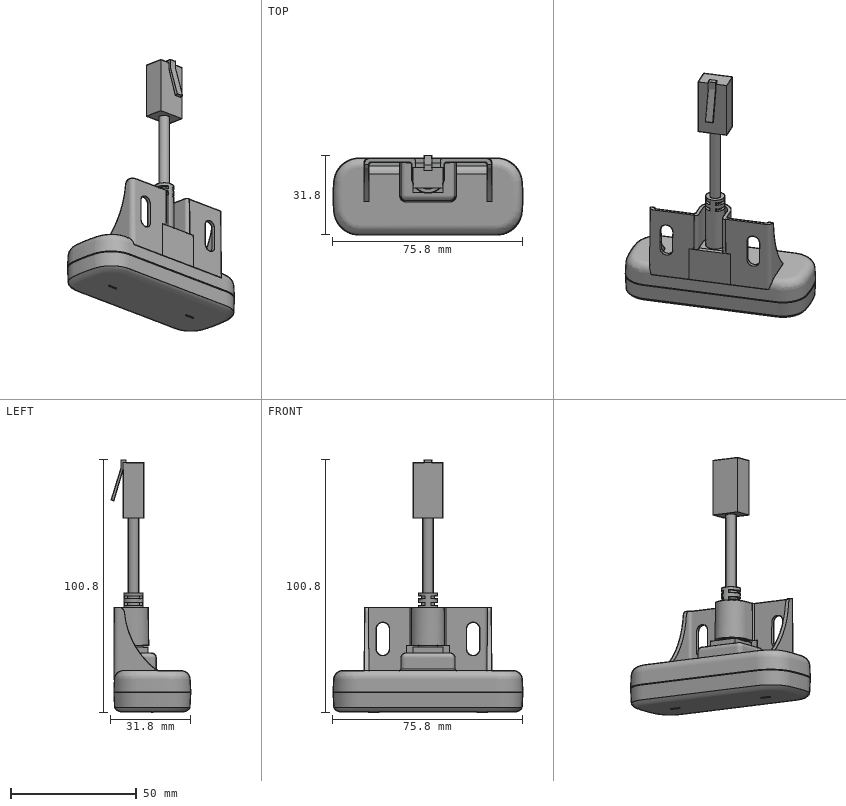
import cadquery as cq
import math

half_length = 37.915
half_width = 15.37
corner_radius = 10.2
corner_center_x = 27.4
end_radius = 55.0
floor_z = 0.3
seam_z = 8.27
housing_top_z = 16.8
housing_draft = 3.0
top_edge_radius = 3.65
rim_height = 1.7
rim_radius = 3.5
seam_groove_height = 0.3
seam_groove_depth = 0.15
foot_length = 4.1
foot_spacing = 43.2

bracket_half_span = 25.5
bracket_root_z = 13.2
bracket_top_z = 42.0
bracket_draft = 0.5
wing_thickness = 1.8
gusset_thickness = 2.0
bend_radius = 2.0
gusset_front_y = -1.9
gusset_tip = (12.8, 42.0)
gusset_tip_middle = (11.8, 41.4)
gusset_shoulder = (11.1, 39.9)
gusset_middle = (6.6, 26.2)
slot_spacing = 36.0
slot_width = 5.2
slot_length = 13.2
slot_center_z = 29.4

groove_front_y = 8.9
groove_step = 1.6
groove_depths = (0.6, 1.6)

hood_half_width = 10.75
hood_front_y = -1.6
hood_top_z = 23.8
hood_radius = 2.0
hood_base_flare = 0.55
hood_base_chamfer = 0.5
back_wall_half_width = 8.6
back_wall_front_y = 13.4
sleeve_bottom_z = 26.85
sleeve_center_y = 8.0
sleeve_outer_radius = 6.65
sleeve_inner_radius = 5.0
sleeve_draft = 0.7
sleeve_bend_radius = 0.5
sleeve_mouth_radius = 1.2

cable_y = 7.5
cable_radius = 2.16
connector_width = 11.9
boot_block_front_y = 1.65
boot_block_top_z = 26.1
boot_radius = 3.85
boot_top_z = 47.8
boot_core_radius = 2.65
boot_rib_width = 2.4
boot_groove_height = 1.1
boot_groove_centers = (43.35, 46.05)
plug_depth = 8.2
plug_bottom_z = 77.6
plug_top_z = 99.7
latch_width = 3.0
latch_top_z = 100.8
latch_thickness = 0.9
latch_overlap = 1.2
latch_root_z = 97.5
latch_tip_y = 16.43
latch_tip_z = 84.8
latch_tip_run = 1.1
latch_tip_drop = 0.4


def box(x_min, x_max, y_min, y_max, z_min, z_max):
    size = (x_max - x_min, y_max - y_min, z_max - z_min)
    return cq.Workplane("XY").box(*size, centered=False).translate((x_min, y_min, z_min))


def cylinder(radius, z_min, z_max):
    return cq.Workplane("XY", origin=(0, cable_y, z_min)).circle(radius).extrude(z_max - z_min)


end_center_x = half_length - end_radius
corner_center_y = half_width - corner_radius
tangent_angle = math.atan2(corner_center_y, corner_center_x - end_center_x)
corner_mid_angle = (tangent_angle + math.pi / 2) / 2


def shell_outline(z, inset):
    """The seam outline offset inward; corner and end arcs keep their centers."""
    length = half_length - inset
    width = half_width - inset
    corner = corner_radius - inset
    tangent_x = end_center_x + (end_radius - inset) * math.cos(tangent_angle)
    tangent_y = (end_radius - inset) * math.sin(tangent_angle)
    mid_x = corner_center_x + corner * math.cos(corner_mid_angle)
    mid_y = corner_center_y + corner * math.sin(corner_mid_angle)
    return (
        cq.Workplane("XY", origin=(0, 0, z))
        .moveTo(-corner_center_x, -width)
        .lineTo(corner_center_x, -width)
        .threePointArc((mid_x, -mid_y), (tangent_x, -tangent_y))
        .threePointArc((length, 0), (tangent_x, tangent_y))
        .threePointArc((mid_x, mid_y), (corner_center_x, width))
        .lineTo(-corner_center_x, width)
        .threePointArc((-mid_x, mid_y), (-tangent_x, tangent_y))
        .threePointArc((-length, 0), (-tangent_x, -tangent_y))
        .threePointArc((-mid_x, -mid_y), (-corner_center_x, -width))
        .close()
    )


def shell_layer(start_z, start_inset, end_z, end_inset):
    wires = [shell_outline(start_z, start_inset).val(), shell_outline(end_z, end_inset).val()]
    return cq.Workplane(cq.Solid.makeLoft(wires, True))


def draft_inset(z):
    return abs(z - seam_z) * math.tan(math.radians(housing_draft))


def make_lower_shell():
    rim_z = floor_z + rim_height
    rim_overhang = rim_radius - math.sqrt(rim_radius**2 - (rim_radius - rim_height) ** 2)
    rounded_inset = draft_inset(rim_z) - rim_overhang
    rounded = shell_outline(floor_z, rounded_inset).extrude(seam_z - floor_z)
    rounded = rounded.faces("<Z").edges().fillet(rim_radius)
    groove_z = seam_z - seam_groove_height
    shell = shell_layer(floor_z, draft_inset(floor_z), groove_z, draft_inset(groove_z)).intersect(rounded)
    shell = shell.union(shell_outline(groove_z, seam_groove_depth).extrude(seam_groove_height))
    for side in (-1, 1):
        foot = (
            cq.Workplane("YZ", origin=(side * foot_spacing / 2, 0, floor_z))
            .circle(floor_z)
            .extrude(foot_length / 2, both=True)
        )
        shell = shell.union(foot)
    return shell


wing_front_y = half_width - wing_thickness
bracket_height = bracket_top_z - bracket_root_z
gusset_inner_x = bracket_half_span - gusset_thickness


def bracket_side_outline():
    return (
        cq.Workplane("YZ")
        .moveTo(half_width, bracket_root_z)
        .lineTo(half_width, bracket_top_z)
        .lineTo(*gusset_tip)
        .threePointArc(gusset_tip_middle, gusset_shoulder)
        .threePointArc(gusset_middle, (gusset_front_y, housing_top_z))
        .lineTo(gusset_front_y, bracket_root_z)
        .close()
        .extrude(bracket_half_span, both=True)
    )


def drafted_prism(half_span, back_y, corner, draft):
    front_y = gusset_front_y - wing_thickness
    return (
        cq.Workplane("XY", origin=(0, (front_y + back_y) / 2, bracket_root_z))
        .sketch()
        .rect(2 * half_span, back_y - front_y)
        .vertices(">Y")
        .fillet(corner)
        .finalize()
        .extrude(bracket_height, taper=draft)
    )


def make_bracket():
    outside = drafted_prism(bracket_half_span, half_width, bend_radius, bracket_draft)
    inside = drafted_prism(gusset_inner_x, wing_front_y, bend_radius / 2, -bracket_draft)
    inside = inside.union(inside.translate((0, -2 * wing_thickness, 0)))
    slots = (
        cq.Workplane("XZ", origin=(0, half_width, 0))
        .pushPoints([(side * slot_spacing / 2, slot_center_z) for side in (-1, 1)])
        .slot2D(slot_length, slot_width, 90)
        .extrude(2 * wing_thickness)
    )
    return outside.cut(inside).intersect(bracket_side_outline()).cut(slots)


def make_groove_cutter(side):
    shallow, deep = groove_depths
    inner_x = hood_half_width + hood_base_flare
    return (
        cq.Workplane("YZ", origin=(side * inner_x, 0, 0))
        .moveTo(groove_front_y, housing_top_z)
        .lineTo(groove_front_y + groove_step, housing_top_z - shallow)
        .lineTo(groove_front_y + 2 * groove_step, housing_top_z - deep)
        .lineTo(wing_front_y, housing_top_z - deep)
        .lineTo(wing_front_y, housing_top_z)
        .close()
        .extrude(side * (gusset_inner_x - inner_x))
    )


def make_hood():
    hood = box(-hood_half_width, hood_half_width, hood_front_y, half_width - wing_thickness / 2,
               bracket_root_z, hood_top_z)
    hood = hood.edges("|Z and <Y").fillet(hood_radius)
    return hood.faces(">Z").edges("not >Y").fillet(hood_radius)


def make_hood_base():
    reach = hood_half_width + hood_base_flare
    base = box(-reach, reach, hood_front_y - hood_base_flare, half_width - wing_thickness / 2,
               bracket_root_z, housing_top_z + hood_base_flare)
    base = base.edges("|Z and <Y").fillet(hood_radius + hood_base_flare)
    return base.faces(">Z").edges("not >Y").chamfer(hood_base_chamfer)


def sleeve_prism(radius, draft):
    """U-shaped prism, round at the front and open to the back; it narrows upward by the draft."""
    return (
        cq.Workplane("XY", origin=(0, sleeve_center_y, sleeve_bottom_z))
        .moveTo(-radius, half_width)
        .lineTo(-radius, 0)
        .threePointArc((0, -radius), (radius, 0))
        .lineTo(radius, half_width)
        .close()
        .extrude(bracket_top_z - sleeve_bottom_z, taper=draft)
    )


def make_sleeve_bore():
    """Bore open to the back, where its mouth is rounded out into the backs of the wings."""
    bore = sleeve_prism(sleeve_inner_radius, 0)
    height = bracket_top_z - sleeve_bottom_z
    for side in (-1, 1):
        mouth = (
            cq.Workplane("XY", origin=(side * sleeve_inner_radius, half_width, sleeve_bottom_z))
            .lineTo(side * sleeve_mouth_radius, 0)
            .radiusArc((0, -sleeve_mouth_radius), -side * sleeve_mouth_radius)
            .close()
            .extrude(height)
        )
        bore = bore.union(mouth)
    return bore


def make_sleeve_bend(side):
    """Inside bend between a sleeve leg and the front of a wing."""
    leg_x = side * sleeve_outer_radius
    bend = side * sleeve_bend_radius
    overlap = wing_thickness / 3
    return (
        cq.Workplane("XY", origin=(leg_x, wing_front_y, sleeve_bottom_z))
        .moveTo(0, -sleeve_bend_radius)
        .radiusArc((bend, 0), bend)
        .lineTo(bend, overlap)
        .lineTo(-side * overlap, overlap)
        .lineTo(-side * overlap, -sleeve_bend_radius)
        .close()
        .extrude(bracket_top_z - sleeve_bottom_z)
    )


def make_upper_shell():
    shell = shell_layer(seam_z, 0, housing_top_z, draft_inset(housing_top_z))
    shell = shell.faces(">Z").edges().fillet(top_edge_radius)
    for side in (-1, 1):
        shell = shell.cut(make_groove_cutter(side))
    back_wall = box(-back_wall_half_width, back_wall_half_width, back_wall_front_y, half_width,
                    bracket_root_z, sleeve_bottom_z)
    sleeve_space = box(-half_length, half_length, -half_width, half_width, 0, bracket_top_z)
    sleeve = sleeve_prism(sleeve_outer_radius, sleeve_draft).intersect(sleeve_space)
    shell = shell.union(make_bracket()).union(make_hood_base()).union(make_hood())
    shell = shell.union(sleeve).cut(make_sleeve_bore())
    for side in (-1, 1):
        shell = shell.union(make_sleeve_bend(side))
    return shell.union(back_wall)


def make_boot():
    block = box(-connector_width / 2, connector_width / 2, boot_block_front_y, back_wall_front_y,
                hood_top_z, boot_block_top_z)
    boot = cylinder(boot_radius, boot_block_top_z, boot_top_z)
    for center_z in boot_groove_centers:
        low_z = center_z - boot_groove_height / 2
        high_z = center_z + boot_groove_height / 2
        ribs = box(-boot_rib_width / 2, boot_rib_width / 2, cable_y - boot_radius, cable_y + boot_radius,
                   low_z, high_z)
        ring = cylinder(boot_radius, low_z, high_z).cut(cylinder(boot_core_radius, low_z, high_z))
        boot = boot.cut(ring.cut(ribs))
    return block.union(boot)


def make_plug():
    back_y = cable_y + plug_depth / 2
    latch_back_y = back_y + latch_thickness
    body = box(-connector_width / 2, connector_width / 2, cable_y - plug_depth / 2, back_y,
               plug_bottom_z, plug_top_z)
    latch = (
        cq.Workplane("YZ")
        .moveTo(back_y - latch_overlap, plug_top_z)
        .lineTo(back_y - latch_overlap, latch_top_z)
        .lineTo(latch_back_y, latch_top_z)
        .lineTo(latch_back_y, latch_root_z)
        .lineTo(latch_tip_y, latch_tip_z)
        .lineTo(latch_tip_y - latch_tip_run, latch_tip_z - latch_tip_drop)
        .lineTo(back_y, latch_root_z - latch_tip_drop)
        .lineTo(back_y, plug_top_z)
        .close()
        .extrude(latch_width / 2, both=True)
    )
    return body.union(latch)


lower_shell = make_lower_shell()
upper_shell = make_upper_shell()
boot = make_boot()
cable = cylinder(cable_radius, boot_top_z, plug_bottom_z)
plug = make_plug()

result = cq.Compound.makeCompound(
    [lower_shell.val(), upper_shell.val(), boot.val(), cable.val(), plug.val()]
)